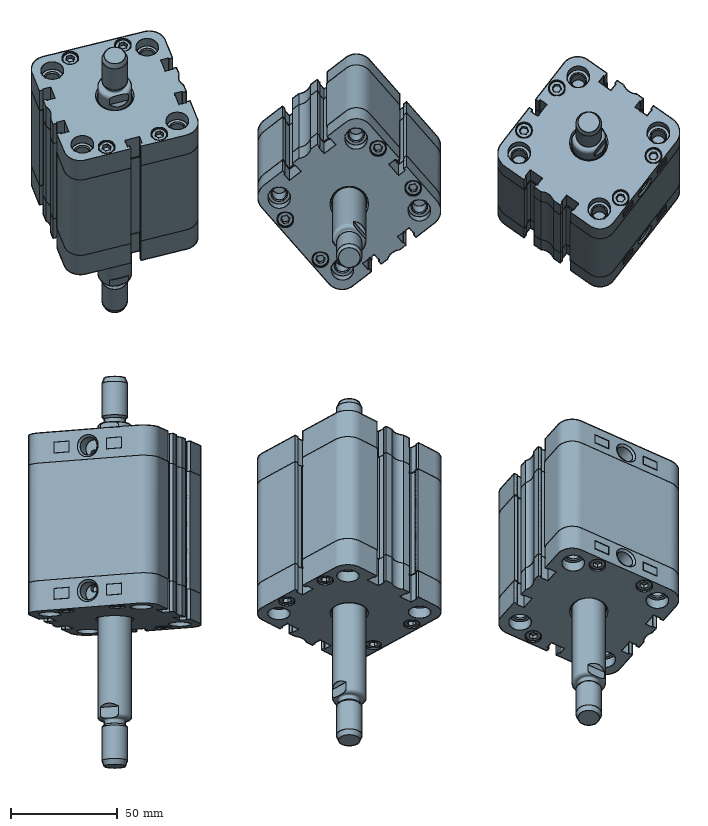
import cadquery as cq
import math


TOTAL_LENGTH = 185.0
HOUSING_WIDTH = 65.5
HOUSING_HEIGHT = 85.0
CAP_HEIGHT = 14.5
BARREL_HEIGHT = HOUSING_HEIGHT - 2 * CAP_HEIGHT
CORNER_RADIUS = 8.0
HALF_WIDTH = HOUSING_WIDTH / 2

LIP_DEPTH = 1.8
LIP_OVERHANG = 0.5
SIDE_LIP_OVERHANG = 1.1
BARREL_SLOT_DEPTH = 5.2
CAP_SLOT_DEPTH = 5.7
SLOT_INNER_EDGE = 7.5
BARREL_MOUTH_WIDTH = 5.5
CAP_MOUTH_WIDTH = 6.0
SIDE_MOUTH_WIDTH = 5.0

GROOVE_WIDTH = 7.2
GROOVE_DEPTH = 1.1

MOUNT_OFFSET = 23.3
MOUNT_BORE_DIAMETER = 10.5
MOUNT_BORE_DEPTH = 5.5
MOUNT_THREAD_DIAMETER = 6.7
MOUNT_THREAD_CHAMFER = 0.5

HEAD_OFFSET_X = 28.1
HEAD_OFFSET_Y = 13.0
HEAD_BORE_DIAMETER = 7.8
HEAD_DIAMETER = 7.0
HEAD_SINK = 0.5
HEAD_GAP_DEPTH = 1.1
SOCKET_ACROSS_FLATS = 3.7
SOCKET_DEPTH = 2.2

PORT_INSET = 8.0
PORT_MOUTH_DIAMETER = 10.5
PORT_DIAMETER = 8.5
PORT_DEPTH = 8.0
PASSAGE_DIAMETER = 3.5
PASSAGE_OFFSET = 2.4
PASSAGE_DEPTH = 2.8

LABEL_OFFSET = 13.3
LABEL_RISE = 0.4
LABEL_WIDTH = 7.5
LABEL_HEIGHT = 5.2
LABEL_DEPTH = 0.2

ROD_DIAMETER = 16.0
BORE_MOUTH_DIAMETER = 18.0
BORE_RELIEF_DIAMETER = 16.5
BORE_RELIEF_DEPTH = 1.8
UPPER_PROJECTION = 30.0
LOWER_PROJECTION = TOTAL_LENGTH - HOUSING_HEIGHT - UPPER_PROJECTION
THREAD_DIAMETER = 12.0
THREAD_CORE_DIAMETER = 10.0
THREAD_LENGTH = 18.5
TIP_CHAMFER_LENGTH = 2.5
RELIEF_TAPER_LENGTH = 1.1
SHOULDER_DISTANCE = 21.8
SHOULDER_ROUNDING = 1.8
RELIEF_ROOT_RADIUS = 0.5
WRENCH_ACROSS_FLATS = 13.0
WRENCH_LENGTH = 5.4


def slot_cutter(mouth_width, lip_overhang, depth, height):
    """T-slot opening towards +Y, with its mouth centred on X = 0 in the plane Y = HALF_WIDTH."""
    mouth = cq.Workplane().box(mouth_width, depth, height, centered=(True, False, False))
    inner = cq.Workplane().box(
        mouth_width + 2 * lip_overhang, depth - LIP_DEPTH, height, centered=(True, False, False)
    )
    return mouth.union(inner).translate((0, HALF_WIDTH - depth, 0))


def groove_cutter(height):
    """Cylinder that leaves the shallow round groove in the +Y side."""
    radius = ((GROOVE_WIDTH / 2) ** 2 + GROOVE_DEPTH**2) / (2 * GROOVE_DEPTH)
    return cq.Workplane().center(0, HALF_WIDTH - GROOVE_DEPTH + radius).circle(radius).extrude(height)


def housing_section(height, mouth_width, slot_depth):
    """Length of the housing profile with its slots and the rod bore, standing on Z = 0."""
    body = cq.Workplane().rect(HOUSING_WIDTH, HOUSING_WIDTH).extrude(height)
    body = body.edges("|Z").fillet(CORNER_RADIUS)

    slot = slot_cutter(mouth_width, LIP_OVERHANG, slot_depth, height)
    slot_x = SLOT_INNER_EDGE + mouth_width / 2
    for side in (-1, 1):
        body = body.cut(slot.translate((side * slot_x, 0, 0)))
        body = body.cut(slot.translate((side * slot_x, 0, 0)).mirror("XZ"))
    side_slot = slot_cutter(SIDE_MOUTH_WIDTH, SIDE_LIP_OVERHANG, slot_depth, height)
    body = body.cut(side_slot.rotate((0, 0, 0), (0, 0, 1), -90))

    groove = groove_cutter(height)
    body = body.cut(groove).cut(groove.mirror("XZ"))
    return body.cut(cq.Workplane().circle(ROD_DIAMETER / 2).extrude(height))


def cone(large_diameter, small_diameter):
    """Solid 45-degree cone with its large end on Z = 0, narrowing downwards."""
    drop = (large_diameter - small_diameter) / 2
    down = cq.Vector(0, 0, -1)
    return cq.Workplane(cq.Solid.makeCone(large_diameter / 2, small_diameter / 2, drop, dir=down))


def mounting_hole_cutter():
    """Counterbored threaded hole, open at Z = 0 and running through the cap."""
    thread = cq.Workplane().circle(MOUNT_THREAD_DIAMETER / 2).extrude(-CAP_HEIGHT)
    bore = cq.Workplane().circle(MOUNT_BORE_DIAMETER / 2).extrude(-MOUNT_BORE_DEPTH)
    chamfer = cone(MOUNT_THREAD_DIAMETER + 2 * MOUNT_THREAD_CHAMFER, MOUNT_THREAD_DIAMETER)
    return thread.union(bore).union(chamfer.translate((0, 0, -MOUNT_BORE_DEPTH)))


def screw_head_cutter():
    """Space above and around a sunken screw head, with its hexagonal socket; open at Z = 0."""
    recess = cq.Workplane().circle(HEAD_BORE_DIAMETER / 2).extrude(-HEAD_SINK)
    gap = cq.Workplane().circle(HEAD_BORE_DIAMETER / 2).circle(HEAD_DIAMETER / 2).extrude(-HEAD_GAP_DEPTH)
    corner_diameter = SOCKET_ACROSS_FLATS / math.cos(math.pi / 6)
    socket = cq.Workplane().polygon(6, corner_diameter).extrude(-HEAD_SINK - SOCKET_DEPTH)
    return recess.union(gap).union(socket.rotate((0, 0, 0), (0, 0, 1), 90))


def air_port_cutter():
    """Air port along X with its passage, for the -X side of the upper cap."""
    port = cq.Workplane().circle(PORT_DIAMETER / 2).extrude(-PORT_DEPTH)
    port = port.union(cone(PORT_MOUTH_DIAMETER, PORT_DIAMETER))
    passage = cq.Workplane().center(-PASSAGE_OFFSET, 0).circle(PASSAGE_DIAMETER / 2)
    port = port.union(passage.extrude(-PORT_DEPTH - PASSAGE_DEPTH))
    return port.rotate((0, 0, 0), (0, 1, 0), -90)


def make_upper_cap():
    """Upper end cap in place, with its outer face at the top of the housing."""
    cap = housing_section(CAP_HEIGHT, CAP_MOUTH_WIDTH, CAP_SLOT_DEPTH)
    relief = cq.Workplane().circle(BORE_RELIEF_DIAMETER / 2).extrude(-BORE_RELIEF_DEPTH)
    relief = relief.union(cone(BORE_MOUTH_DIAMETER, BORE_RELIEF_DIAMETER))
    cap = cap.cut(relief.translate((0, 0, CAP_HEIGHT)))

    for side_x in (-1, 1):
        for side_y in (-1, 1):
            mount_place = (side_x * MOUNT_OFFSET, side_y * MOUNT_OFFSET, CAP_HEIGHT)
            cap = cap.cut(mounting_hole_cutter().translate(mount_place))
            screw_place = (side_x * HEAD_OFFSET_X, side_y * HEAD_OFFSET_Y, CAP_HEIGHT)
            cap = cap.cut(screw_head_cutter().translate(screw_place))

    port_z = CAP_HEIGHT - PORT_INSET
    cap = cap.cut(air_port_cutter().translate((-HALF_WIDTH, 0, port_z)))
    label = cq.Workplane().box(2 * LABEL_DEPTH, LABEL_WIDTH, LABEL_HEIGHT)
    for side in (-1, 1):
        cap = cap.cut(label.translate((-HALF_WIDTH, side * LABEL_OFFSET, port_z + LABEL_RISE)))
    return cap.translate((0, 0, HOUSING_HEIGHT - CAP_HEIGHT))


def make_lower_cap():
    """Mirror image of the upper cap at the foot of the housing."""
    return make_upper_cap().mirror("XY").translate((0, 0, HOUSING_HEIGHT))


def make_barrel():
    """Middle length of the housing between the two caps."""
    barrel = housing_section(BARREL_HEIGHT, BARREL_MOUTH_WIDTH, BARREL_SLOT_DEPTH)
    return barrel.translate((0, 0, CAP_HEIGHT))


def rod_half(length):
    """Upright half of the rod from Z = 0 to its threaded tip at Z = length."""
    rod_radius = ROD_DIAMETER / 2
    thread_radius = THREAD_DIAMETER / 2
    core_radius = THREAD_CORE_DIAMETER / 2
    thread_end = length - THREAD_LENGTH
    shoulder = length - SHOULDER_DISTANCE
    half = (
        cq.Workplane("XZ")
        .moveTo(0, 0)
        .lineTo(rod_radius, 0)
        .lineTo(rod_radius, shoulder - SHOULDER_ROUNDING)
        .tangentArcPoint((rod_radius - SHOULDER_ROUNDING, shoulder), relative=False)
        .lineTo(core_radius + RELIEF_ROOT_RADIUS, shoulder)
        .radiusArc((core_radius, shoulder + RELIEF_ROOT_RADIUS), RELIEF_ROOT_RADIUS)
        .lineTo(core_radius, thread_end - RELIEF_TAPER_LENGTH)
        .lineTo(thread_radius, thread_end)
        .lineTo(thread_radius, length - TIP_CHAMFER_LENGTH)
        .lineTo(core_radius, length)
        .lineTo(0, length)
        .close()
        .revolve(360, (0, 0, 0), (0, 1, 0))
    )

    flat_x = WRENCH_ACROSS_FLATS / 2
    flat_end = shoulder - WRENCH_LENGTH
    flat = (
        cq.Workplane("XZ")
        .moveTo(flat_x, shoulder)
        .lineTo(flat_x, flat_end)
        .lineTo(flat_x + ROD_DIAMETER, flat_end - ROD_DIAMETER)
        .lineTo(flat_x + ROD_DIAMETER, shoulder)
        .close()
        .extrude(rod_radius, both=True)
    )
    return half.cut(flat).cut(flat.mirror("YZ"))


def make_rod():
    """Through rod with the same threaded end above and below the housing."""
    middle = HOUSING_HEIGHT / 2
    upper = rod_half(middle + UPPER_PROJECTION)
    lower = rod_half(middle + LOWER_PROJECTION).mirror("XY")
    return upper.union(lower).translate((0, 0, middle))


upper_cap = make_upper_cap()
lower_cap = make_lower_cap()
barrel = make_barrel()
rod = make_rod()

result = cq.Compound.makeCompound([upper_cap.val(), lower_cap.val(), barrel.val(), rod.val()])